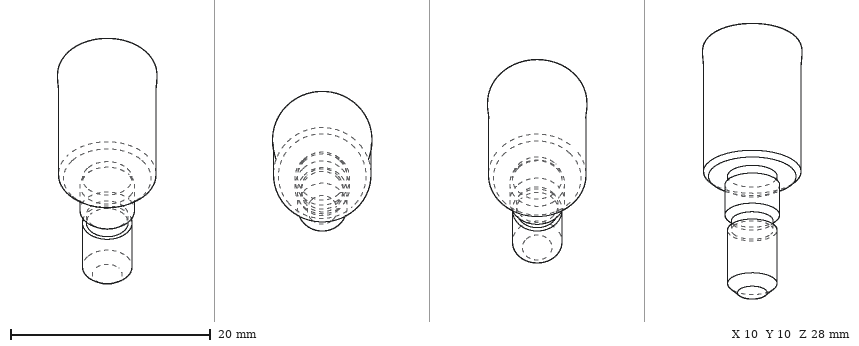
import cadquery as cq
import math

cap_radius = 4.998
body_radius = 4.9
collar_radius = 2.75
pin_radius = 2.5
neck_radius = 2.5
groove_radius = 2.1

total_height = 28.0
pin_length = 7.0
groove_length = 1.0
collar_length = 4.0
neck_length = 0.6
cap_band_length = 0.5
cap_taper_length = 1.15

tip_chamfer = 1.0
body_chamfer = 0.5
cap_rounding = 1.0
neck_fillet = 0.35
collar_bottom_chamfer = collar_radius - groove_radius

fillet_height = neck_fillet * math.sin(math.pi / 4)
fillet_foot_radius = neck_radius + neck_fillet * (1 - math.cos(math.pi / 4))
collar_top_chamfer = collar_radius - fillet_foot_radius

groove_top = pin_length + groove_length
collar_shoulder = groove_top + collar_length
collar_top = collar_shoulder + collar_top_chamfer
neck_bottom = collar_top + fillet_height
body_bottom = neck_bottom + neck_length
round_start = total_height - cap_rounding
taper_top = round_start - cap_band_length
taper_bottom = taper_top - cap_taper_length

fillet_midpoint = (
    neck_radius + neck_fillet * (1 - math.cos(math.pi / 8)),
    neck_bottom - neck_fillet * math.sin(math.pi / 8),
)

round_center_radius = cap_radius - cap_rounding
round_mid_offset = cap_rounding * math.sqrt(0.5)
round_midpoint = (round_center_radius + round_mid_offset, round_start + round_mid_offset)

half_section = (
    cq.Workplane("XZ")
    .moveTo(0, 0)
    .lineTo(pin_radius - tip_chamfer, 0)
    .lineTo(pin_radius, tip_chamfer)
    .lineTo(pin_radius, pin_length)
    .lineTo(groove_radius, pin_length)
    .lineTo(groove_radius, groove_top)
    .lineTo(collar_radius, groove_top + collar_bottom_chamfer)
    .lineTo(collar_radius, collar_shoulder)
    .lineTo(fillet_foot_radius, collar_top)
    .threePointArc(fillet_midpoint, (neck_radius, neck_bottom))
    .lineTo(neck_radius, body_bottom)
    .lineTo(body_radius - body_chamfer, body_bottom)
    .lineTo(body_radius, body_bottom + body_chamfer)
    .lineTo(body_radius, taper_bottom)
    .lineTo(cap_radius, taper_top)
    .lineTo(cap_radius, round_start)
    .threePointArc(round_midpoint, (round_center_radius, total_height))
    .lineTo(0, total_height)
    .close()
)

result = half_section.revolve(360, (0, 0, 0), (0, 1, 0))